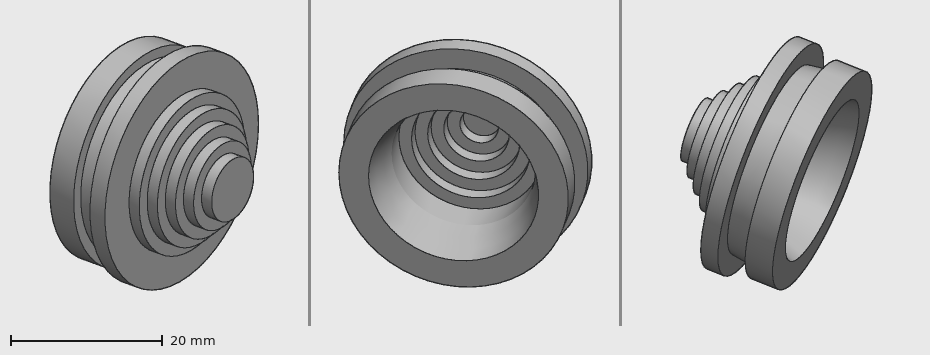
import cadquery as cq

total_length = 18.5
lip_end = 4.0
flange_start = 7.5
flange_end = 10.0

lip_radius = 15.5
neck_start_radius = 14.0
neck_end_radius = 13.5
flange_radius = 16.5

step_count = 5
step_size = (total_length - flange_end) / step_count
first_step_radius = 11.32

mouth_radius = 11.5
mouth_depth = 6.2
throat_radius = 9.7
throat_end = 10.55
bore_count = step_count - 1
bore_taper = 0.1


def revolve_about_x(outline):
    """Revolve a closed outline of (x, radius) points about the X axis."""
    profile = cq.Workplane("XY").polyline(outline).close()
    return profile.revolve(360, (0, 0, 0), (1, 0, 0))


def make_body():
    outline = [
        (0, 0),
        (0, lip_radius),
        (lip_end, lip_radius),
        (lip_end, neck_start_radius),
        (flange_start, neck_end_radius),
        (flange_start, flange_radius),
        (flange_end, flange_radius),
    ]
    for i in range(step_count):
        start = flange_end + i * step_size
        radius = first_step_radius - i * step_size
        outline += [(start, radius), (start + step_size, radius)]
    outline.append((total_length, 0))
    return revolve_about_x(outline)


def make_cavity():
    outline = [
        (0, 0),
        (0, mouth_radius),
        (mouth_depth, throat_radius),
        (throat_end, throat_radius),
    ]
    for i in range(bore_count):
        start = throat_end + i * step_size
        end = start + step_size
        start_radius = throat_radius - step_size - i * (step_size + bore_taper)
        outline += [(start, start_radius), (end, start_radius - bore_taper)]
    outline.append((throat_end + bore_count * step_size, 0))
    return revolve_about_x(outline)


result = make_body().cut(make_cavity())